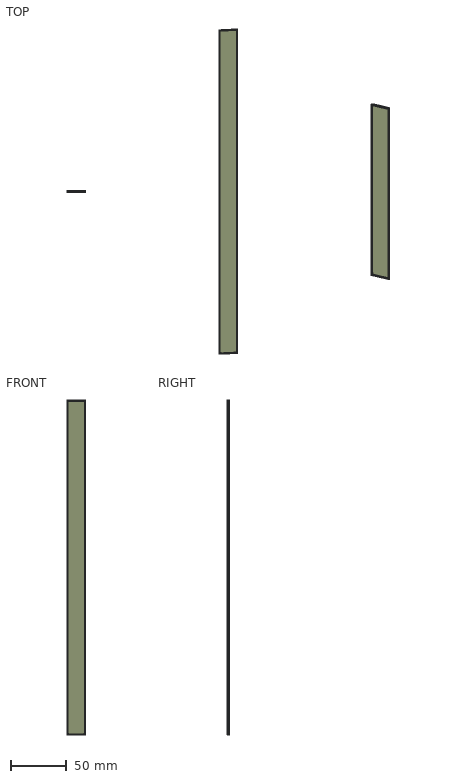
import cadquery as cq

width = 16.0
thickness = 1.0
length = 300.0
edge_radius = 0.8


def flat_strip():
    """Plain rectangular strip centred on the origin, standing along Z."""
    return cq.Workplane("XY").box(width, thickness, length)


def round_front_edges(strip):
    """Round the two long edges and the bottom edge of the -Y face; its top edge stays sharp."""
    return strip.faces("<Y").edges("|Z or <Z").fillet(edge_radius)


result = round_front_edges(flat_strip())